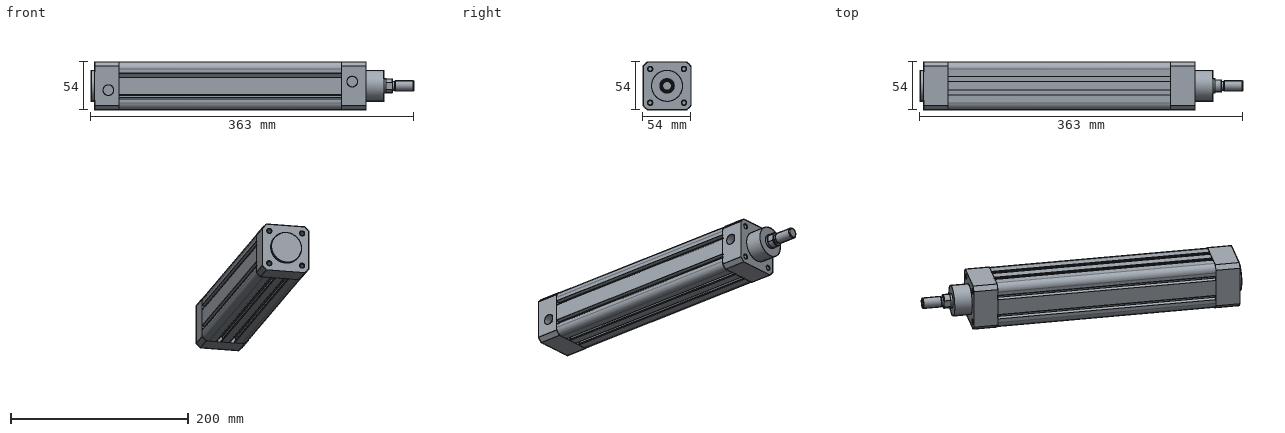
import cadquery as cq

SIDE = 54.0
CAP_LENGTH = 27.5
BODY_LENGTH = 305.0
BARREL_LENGTH = BODY_LENGTH - 2 * CAP_LENGTH
CAP_CHAMFER = 4.8

COLLAR_DIAMETER = 34.8
REAR_COLLAR_LENGTH = 4.0
FRONT_COLLAR_LENGTH = 20.0

SCREW_SPACING = 38.0
SCREW_DIAMETER = 4.8
SCREW_CHAMFER = 0.6
COUNTERSINK_ANGLE = 45.0
SCREW_DEPTH = 16.0

PORT_DIAMETER = 12.0
PORT_DEPTH = 12.0
PORT_INSET = 15.5
PORT_OFFSET = 4.8

CORNER_RADIUS = 8.0

T_GROOVE_OFFSET = 7.6
T_GROOVE_MOUTH = 5.5
T_GROOVE_WIDTH = 8.0
T_GROOVE_LIP = 1.5
T_GROOVE_DEPTH = 6.0
TAPER_GROOVE_OFFSET = 12.0
TAPER_GROOVE_MOUTH = 5.0
TAPER_GROOVE_FLOOR = 2.4
TAPER_GROOVE_DEPTH = 3.7

ROD_DIAMETER = 15.6
ROD_REACH = 30.0
FLAT_WIDTH = 13.6
RING_DIAMETER = 16.2
RING_LENGTH = 2.5
ROD_CHAMFER = 0.6
THREAD_DIAMETER = 12.0
THREAD_LENGTH = 24.0
NECK_DIAMETER = 10.0
NECK_LENGTH = 2.0
THREAD_CHAMFER = 1.0

BARREL_START = CAP_LENGTH
FRONT_CAP_START = BARREL_START + BARREL_LENGTH
ROD_START = BODY_LENGTH + FRONT_COLLAR_LENGTH
SHANK_START = ROD_START + RING_LENGTH
ROD_SHOULDER = BODY_LENGTH + ROD_REACH
THREAD_START = ROD_SHOULDER + NECK_LENGTH
ROD_END = ROD_SHOULDER + THREAD_LENGTH


def plane_at(x):
    """YZ work plane at station x, extruding towards +X."""
    return cq.Workplane("YZ", origin=(x, 0, 0))


def make_cap(start, outer_face, outward, collar_length, port_x, port_z):
    """End cap with a collar, four countersunk screw holes and one port on the -Y side."""
    cap = plane_at(start).rect(SIDE, SIDE).extrude(CAP_LENGTH)
    cap = cap.edges("|X").chamfer(CAP_CHAMFER)
    collar = plane_at(outer_face).circle(COLLAR_DIAMETER / 2).extrude(outward * collar_length)
    screw_pattern = plane_at(outer_face).rect(SCREW_SPACING, SCREW_SPACING, forConstruction=True).vertices()
    screws = screw_pattern.circle(SCREW_DIAMETER / 2).extrude(-outward * SCREW_DEPTH)
    countersinks = screw_pattern.circle(SCREW_DIAMETER / 2 + SCREW_CHAMFER).extrude(
        -outward * SCREW_CHAMFER, taper=COUNTERSINK_ANGLE
    )
    port = (
        cq.Workplane("XZ", origin=(port_x, -SIDE / 2, port_z))
        .circle(PORT_DIAMETER / 2)
        .extrude(-PORT_DEPTH)
    )
    return cap.union(collar).cut(screws).cut(countersinks).cut(port)


def make_barrel():
    """Rounded square profile with two grooves along each of its four sides."""
    barrel = plane_at(BARREL_START).rect(SIDE, SIDE).extrude(BARREL_LENGTH)
    barrel = barrel.edges("|X").fillet(CORNER_RADIUS)
    for half_turn in (0, 180):
        for lane in (-1, 1):
            for groove in (make_t_groove(lane), make_tapered_groove(lane)):
                barrel = barrel.cut(groove.rotate((0, 0, 0), (1, 0, 0), half_turn))
    return barrel


def make_t_groove(lane):
    """Cutter for an undercut groove in the +Z side."""
    profile = plane_at(BARREL_START).center(lane * T_GROOVE_OFFSET, SIDE / 2)
    mouth = profile.rect(T_GROOVE_MOUTH, 2 * T_GROOVE_DEPTH).extrude(BARREL_LENGTH)
    undercut_height = T_GROOVE_DEPTH - T_GROOVE_LIP
    undercut = (
        profile.center(0, -T_GROOVE_LIP - undercut_height / 2)
        .rect(T_GROOVE_WIDTH, undercut_height)
        .extrude(BARREL_LENGTH)
    )
    return mouth.union(undercut)


def make_tapered_groove(lane):
    """Cutter for a groove in the -Y side that narrows towards its floor."""
    return (
        plane_at(BARREL_START)
        .center(-SIDE / 2, lane * TAPER_GROOVE_OFFSET)
        .moveTo(0, -TAPER_GROOVE_MOUTH / 2)
        .lineTo(TAPER_GROOVE_DEPTH, -TAPER_GROOVE_FLOOR / 2)
        .lineTo(TAPER_GROOVE_DEPTH, TAPER_GROOVE_FLOOR / 2)
        .lineTo(0, TAPER_GROOVE_MOUTH / 2)
        .close()
        .extrude(BARREL_LENGTH)
    )


def make_rod():
    """Piston rod: guide ring, shank with wrench flats facing -Y and +Y, relief neck, threaded end."""
    ring = plane_at(ROD_START).circle(RING_DIAMETER / 2).extrude(RING_LENGTH)

    shank = plane_at(SHANK_START).circle(ROD_DIAMETER / 2).extrude(ROD_SHOULDER - SHANK_START)
    shank = shank.faces(">X").chamfer(ROD_CHAMFER)
    flats = plane_at(SHANK_START).rect(FLAT_WIDTH, 2 * ROD_DIAMETER).extrude(ROD_SHOULDER - SHANK_START)
    shank = shank.intersect(flats)

    neck = plane_at(ROD_SHOULDER).circle(NECK_DIAMETER / 2).extrude(NECK_LENGTH)
    thread = plane_at(THREAD_START).circle(THREAD_DIAMETER / 2).extrude(ROD_END - THREAD_START)
    thread = thread.faces("<X or >X").chamfer(THREAD_CHAMFER)
    return ring.union(shank).union(neck).union(thread)


rear_cap = make_cap(0, 0, -1, REAR_COLLAR_LENGTH, PORT_INSET, -PORT_OFFSET)
front_cap = make_cap(
    FRONT_CAP_START, BODY_LENGTH, 1, FRONT_COLLAR_LENGTH, BODY_LENGTH - PORT_INSET, PORT_OFFSET
)
barrel = make_barrel()
rod = make_rod()

result = cq.Compound.makeCompound([rear_cap.val(), barrel.val(), front_cap.val(), rod.val()])